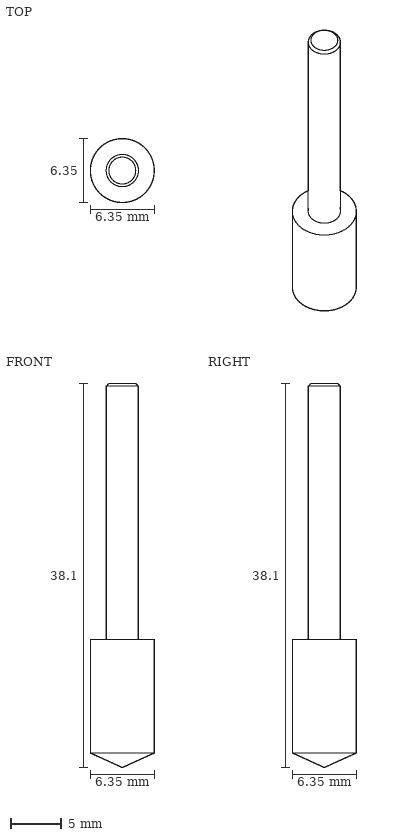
import cadquery as cq

total_length = 38.1
head_diameter = 6.35
head_length = 12.73
cone_height = 1.45
pin_diameter = 3.2
pin_chamfer = 0.25

head_radius = head_diameter / 2
pin_length = total_length - head_length


def make_head():
    """Round head with a flat shoulder on top and a conical point below."""
    return (
        cq.Workplane("XZ")
        .moveTo(0, 0)
        .lineTo(head_radius, cone_height)
        .lineTo(head_radius, head_length)
        .lineTo(0, head_length)
        .close()
        .revolve(360, (0, 0, 0), (0, 1, 0))
    )


def make_pin():
    """Slim pin standing on the shoulder, with a chamfered top end."""
    return (
        cq.Workplane("XY")
        .workplane(offset=head_length)
        .circle(pin_diameter / 2)
        .extrude(pin_length)
        .faces(">Z")
        .chamfer(pin_chamfer)
    )


head = make_head()
pin = make_pin()

result = cq.Compound.makeCompound([head.val(), pin.val()])